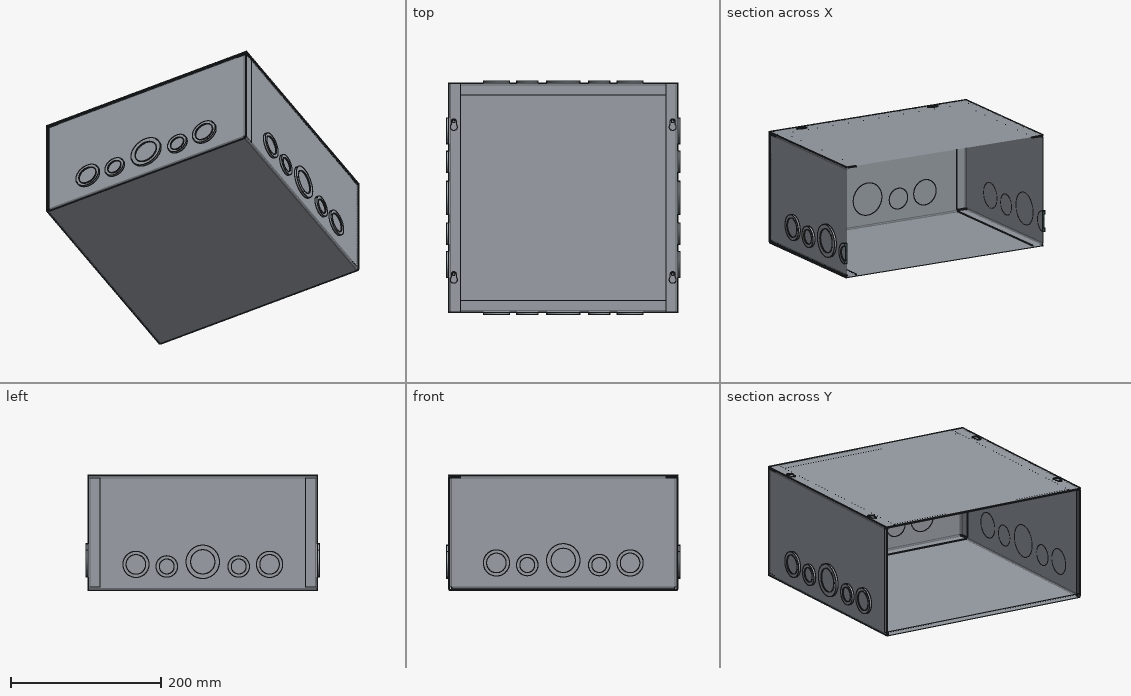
import cadquery as cq
overall_width = 310.7
overall_height = 153.8
sheet = 1.3
bend_radius = 2.5
panel_gap = 0.5
flange_width = 15.5

ring_height = 2.98
centre_height = 1.5
knockouts = [
    (0.0, 38.2, 44.5, 32.3),
    (48.0, 32.0, 28.5, 20.0),
    (89.0, 34.8, 34.8, 26.0),
]

keyhole_head_diameter = 9.3
keyhole_slot_width = 6.5
keyhole_length = 7.5
screw_hole_diameter = 3.7
screw_inset = 6.8
screw_y = 101.5

box_width = overall_width - 2 * ring_height
half_width = box_width / 2
box_top = overall_height / 2 - sheet
box_bottom = -overall_height / 2
inner_bend_radius = bend_radius - sheet
screw_x = half_width - screw_inset
screw_points = [(side * screw_x, end * screw_y) for side in (-1, 1) for end in (-1, 1)]


def block(x_min, x_max, y_min, y_max, z_min, z_max):
    """Rectangular block between the given limits."""
    size = (x_max - x_min, y_max - y_min, z_max - z_min)
    return cq.Workplane("XY").box(*size, centered=False).translate((x_min, y_min, z_min))


def knockout_rings(face_plane, base_z):
    """Row of rings on a wall; the plane lies on the wall's outer face at Z = 0, with Z as its local Y."""
    rings = cq.Workplane(face_plane)
    for distance, height, outer_diameter, inner_diameter in knockouts:
        for offset in sorted({-distance, distance}):
            ring = (
                cq.Workplane(face_plane)
                .center(offset, base_z + height)
                .circle(outer_diameter / 2)
                .extrude(ring_height)
            )
            recess = (
                cq.Workplane(face_plane)
                .workplane(offset=centre_height)
                .center(offset, base_z + height)
                .circle(inner_diameter / 2)
                .extrude(ring_height - centre_height)
            )
            ring = ring.cut(recess)
            rings = rings.add(ring)
    return rings


def add_rings(wall, rings):
    """Join each ring of a row to its wall."""
    for ring in rings.vals():
        wall = wall.union(cq.Workplane(ring))
    return wall


def make_wrapper():
    """Bottom and both X walls bent from one sheet, with inturned flanges along the top."""
    inner_half = half_width - sheet
    cavity = block(
        -inner_half, inner_half, -half_width, half_width, box_bottom + sheet, box_top - sheet
    ).edges("|Y").fillet(inner_bend_radius)
    opening_half = half_width - flange_width
    opening = block(-opening_half, opening_half, -half_width, half_width, 0, box_top)
    wrapper = (
        block(-half_width, half_width, -half_width, half_width, box_bottom, box_top)
        .edges("|Y").fillet(bend_radius)
        .cut(cavity)
        .cut(opening)
    )
    screw_holes = (
        cq.Workplane("XY", origin=(0, 0, box_top - sheet))
        .pushPoints(screw_points)
        .circle(screw_hole_diameter / 2)
        .extrude(sheet)
    )
    wrapper = wrapper.cut(screw_holes)
    for side in (-1, 1):
        face_plane = cq.Plane(origin=(side * half_width, 0, 0), xDir=(0, side, 0), normal=(side, 0, 0))
        wrapper = add_rings(wrapper, knockout_rings(face_plane, box_bottom))
    return wrapper


def make_end_panel():
    """Panel closing the -Y end: a shallow pan with four flanges and notched corners."""
    side = half_width - sheet
    floor = box_bottom + sheet + panel_gap
    front = -half_width
    back = front + flange_width
    pan = block(-side, side, front, back, floor, box_top)
    pan = pan.edges("(|X or |Z) and <Y").fillet(bend_radius)
    hollow = block(-side + sheet, side - sheet, front + sheet, back, floor + sheet, box_top - sheet)
    pan = pan.cut(hollow.edges("(|X or |Z) and <Y").fillet(inner_bend_radius))

    upper_notch = half_width - flange_width
    for end in (-1, 1):
        outer = end * side
        lower = end * (side - bend_radius)
        upper = end * upper_notch
        pan = pan.cut(
            block(min(outer, lower), max(outer, lower), front, back, floor, floor + bend_radius)
        )
        pan = pan.cut(
            block(min(outer, upper), max(outer, upper), front, back, box_top - bend_radius, box_top)
        )
    face_plane = cq.Plane(origin=(0, front, 0), xDir=(1, 0, 0), normal=(0, -1, 0))
    return add_rings(pan, knockout_rings(face_plane, floor))


def make_cover():
    """Flat cover with a keyhole over each screw hole."""
    cover = block(-half_width, half_width, -half_width, half_width, box_top, box_top + sheet)
    for x, y in screw_points:
        base = cq.Workplane("XY", origin=(x, y, box_top))
        slot_end = base.circle(keyhole_slot_width / 2).extrude(sheet)
        slot = base.center(0, -keyhole_length / 2).rect(keyhole_slot_width, keyhole_length).extrude(sheet)
        head = (
            cq.Workplane("XY", origin=(x, y - keyhole_length, box_top))
            .circle(keyhole_head_diameter / 2)
            .extrude(sheet)
        )
        cover = cover.cut(slot_end.union(slot).union(head))
    return cover


wrapper = make_wrapper()
front_panel = make_end_panel()
back_panel = make_end_panel().mirror("XZ")
cover = make_cover()

result = cq.Compound.makeCompound([wrapper.val(), front_panel.val(), back_panel.val(), cover.val()])